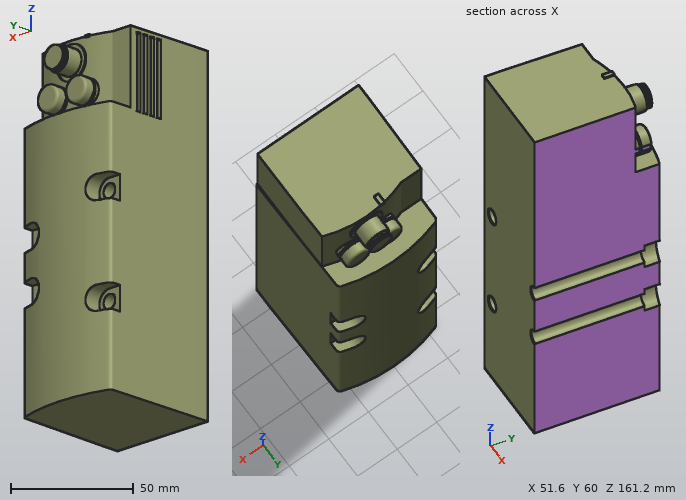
import cadquery as cq
import math

WIDTH = 51.6
DEPTH = 60.0
HEIGHT = 161.2
KEY_RISE = 0.5
BODY_TOP = HEIGHT - KEY_RISE
HALF_WIDTH = WIDTH / 2

STRAIGHT_DEPTH = 8.2
DRAFT_ANGLE = 1.0
SHOULDER_Y = 55.8
SHOULDER_RADIUS = 2.0

STEP_Z = 125.1
HEAD_FLAT_Y = 44.5
HEAD_CROWN_Y = 48.2
HEAD_ARCH_X = 5.2
HEAD_ARCH_HALF_CHORD = 20.2
HEAD_INSET = 0.08

HOLE_DIAMETER = 6.6
HOLE_CHAMFER = 0.3
HOLE_X = 19.0
HOLE_MID_Z = 64.8
LEFT_HOLE_PITCH = 48.0
RIGHT_HOLE_PITCH = 24.0
POCKET_DIAMETER = 11.5
POCKET_FLOOR_Y = 50.6

GROOVE_COUNT = 4
GROOVE_WIDTH = 2.1
GROOVE_PITCH = 3.9
GROOVE_FIRST_Y = 28.2
GROOVE_BOTTOM_Z = 124.5
GROOVE_TOP_Z = 158.8
GROOVE_FLOOR_X = -23.5

CONNECTOR_DIAMETER = 12.0
CONNECTOR_ROOT_Y = 43.5
PLUG_Z = 151.0
PLUG_COLLAR_DIAMETER = 16.0
PLUG_COLLAR_Y = 48.4
PLUG_SHOULDER_Y = 54.8
PLUG_CONE_END_Y = 56.0
PLUG_CONE_DIAMETER = 11.5
PLUG_TIP_DIAMETER = 10.5
PLUG_GROOVE_DIAMETER = 10.0
PLUG_GROOVE_START_Y = 57.0
PLUG_GROOVE_END_Y = 57.5
PLUG_TIP_Y = 58.5
SCREW_Z = 136.4
SCREW_OFFSET_X = 8.0
SCREW_NECK_DIAMETER = 9.3
SCREW_NECK_START_Y = 48.4
SCREW_NECK_END_Y = 49.2
SCREW_TIP_Y = 54.2
SCREW_EDGE_RADIUS = 1.3

KEY_X = -3.4
KEY_WIDTH = 2.3
KEY_START_Y = 43.0
KEY_END_Y = 47.7
KEY_THICKNESS = 1.0


def box_between(low, high):
    """Axis-aligned box between two opposite corners."""
    size = [b - a for a, b in zip(low, high)]
    return cq.Workplane("XY").box(*size, centered=False).translate(tuple(low))


def turned_along_y(x, z, profile):
    """Solid of revolution about a Y-parallel axis; profile is (diameter, y) pairs."""
    points = [(diameter / 2, y) for diameter, y in profile]
    outline = [(0, points[0][1])] + points + [(0, points[-1][1])]
    solid = cq.Workplane("XY").polyline(outline).close().revolve(360, (0, 0, 0), (0, 1, 0))
    return solid.translate((x, 0, z))


def main_block():
    """Drafted block with an arched cover and rounded shoulders."""
    shoulder_x = HALF_WIDTH - (SHOULDER_Y - STRAIGHT_DEPTH) * math.tan(math.radians(DRAFT_ANGLE))
    block = (
        cq.Workplane("XY")
        .moveTo(-HALF_WIDTH, 0)
        .lineTo(HALF_WIDTH, 0)
        .lineTo(HALF_WIDTH, STRAIGHT_DEPTH)
        .lineTo(shoulder_x, SHOULDER_Y)
        .threePointArc((0, DEPTH), (-shoulder_x, SHOULDER_Y))
        .lineTo(-HALF_WIDTH, STRAIGHT_DEPTH)
        .close()
        .extrude(BODY_TOP)
    )
    for side in (-1, 1):
        corner = cq.NearestToPointSelector((side * shoulder_x, SHOULDER_Y, BODY_TOP / 2))
        block = block.edges(corner).fillet(SHOULDER_RADIUS)
    return block


def head_envelope():
    """Upper region of the block that stays: flat ledge on -X, then an arch."""
    arch_start_x = HEAD_ARCH_X - HEAD_ARCH_HALF_CHORD
    arch_end_x = HEAD_ARCH_X + HEAD_ARCH_HALF_CHORD
    return (
        cq.Workplane("XY", origin=(0, 0, STEP_Z))
        .moveTo(-HALF_WIDTH, 0)
        .lineTo(arch_end_x, 0)
        .lineTo(arch_end_x, HEAD_FLAT_Y)
        .threePointArc((HEAD_ARCH_X, HEAD_CROWN_Y), (arch_start_x, HEAD_FLAT_Y))
        .lineTo(-HALF_WIDTH, HEAD_FLAT_Y)
        .close()
        .extrude(BODY_TOP - STEP_Z)
    )


def stepped_body():
    """Block with the upper part cut back to the connector head."""
    block = main_block()
    lower = block.intersect(box_between((-WIDTH, 0, 0), (WIDTH, DEPTH, STEP_Z)))
    upper = block.intersect(block.translate((-HEAD_INSET, 0, 0))).intersect(head_envelope())
    return lower.union(upper)


def mounting_hole(side, z):
    """Through hole with a lead-in chamfer and a pocket open to the nearer side."""
    x = side * HOLE_X
    mouth = HOLE_DIAMETER + 2 * HOLE_CHAMFER
    hole = turned_along_y(x, z, [(mouth, 0), (HOLE_DIAMETER, HOLE_CHAMFER), (HOLE_DIAMETER, DEPTH)])
    pocket = turned_along_y(x, z, [(POCKET_DIAMETER, POCKET_FLOOR_Y), (POCKET_DIAMETER, DEPTH)])
    radius = POCKET_DIAMETER / 2
    inner_x, outer_x = sorted((x, side * WIDTH))
    opening = box_between((inner_x, POCKET_FLOOR_Y, z - radius), (outer_x, DEPTH, z + radius))
    return hole.union(pocket).union(opening)


def side_groove(index):
    """One vertical groove in the -X wall."""
    start_y = GROOVE_FIRST_Y + index * GROOVE_PITCH - GROOVE_WIDTH / 2
    low = (-WIDTH, start_y, GROOVE_BOTTOM_Z)
    high = (GROOVE_FLOOR_X, start_y + GROOVE_WIDTH, GROOVE_TOP_Z)
    return box_between(low, high)


def plug():
    """Large connector with a collar, a coned shoulder and a grooved tip."""
    return turned_along_y(HEAD_ARCH_X, PLUG_Z, [
        (PLUG_COLLAR_DIAMETER, CONNECTOR_ROOT_Y),
        (PLUG_COLLAR_DIAMETER, PLUG_COLLAR_Y),
        (CONNECTOR_DIAMETER, PLUG_COLLAR_Y),
        (CONNECTOR_DIAMETER, PLUG_SHOULDER_Y),
        (PLUG_CONE_DIAMETER, PLUG_CONE_END_Y),
        (PLUG_TIP_DIAMETER, PLUG_CONE_END_Y),
        (PLUG_TIP_DIAMETER, PLUG_GROOVE_START_Y),
        (PLUG_GROOVE_DIAMETER, PLUG_GROOVE_START_Y),
        (PLUG_GROOVE_DIAMETER, PLUG_GROOVE_END_Y),
        (PLUG_TIP_DIAMETER, PLUG_GROOVE_END_Y),
        (PLUG_TIP_DIAMETER, PLUG_TIP_Y),
    ])


def screw(x):
    """Round-edged screw head on a narrow neck and a full-size base."""
    head = turned_along_y(x, SCREW_Z, [
        (CONNECTOR_DIAMETER, CONNECTOR_ROOT_Y),
        (CONNECTOR_DIAMETER, SCREW_NECK_START_Y),
        (SCREW_NECK_DIAMETER, SCREW_NECK_START_Y),
        (SCREW_NECK_DIAMETER, SCREW_NECK_END_Y),
        (CONNECTOR_DIAMETER, SCREW_NECK_END_Y),
        (CONNECTOR_DIAMETER, SCREW_TIP_Y),
    ])
    return head.faces(">Y").edges().fillet(SCREW_EDGE_RADIUS)


def key():
    """Small bar on the top face, running to the edge of the head."""
    low = (KEY_X - KEY_WIDTH / 2, KEY_START_Y, HEIGHT - KEY_THICKNESS)
    high = (KEY_X + KEY_WIDTH / 2, KEY_END_Y, HEIGHT)
    return box_between(low, high)


result = stepped_body()
for side, pitch in ((-1, LEFT_HOLE_PITCH), (1, RIGHT_HOLE_PITCH)):
    for direction in (-1, 1):
        result = result.cut(mounting_hole(side, HOLE_MID_Z + direction * pitch / 2))
for index in range(GROOVE_COUNT):
    result = result.cut(side_groove(index))
result = result.union(plug())
for direction in (-1, 1):
    result = result.union(screw(HEAD_ARCH_X + direction * SCREW_OFFSET_X))
result = result.union(key())